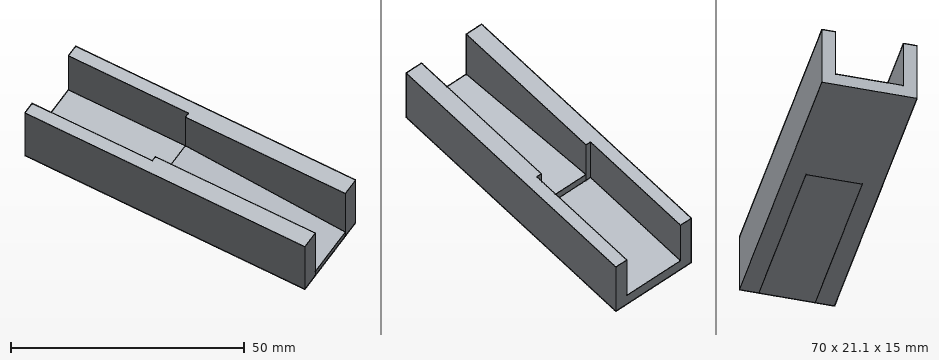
import cadquery as cq

length = 70.0
width = 21.1
height = 15.0
floor_thickness = 3.0
wide_channel_length = 30.0
wide_channel_width = 15.0
narrow_channel_width = 12.45

ramp_high_end = 5.0
ramp_low_end = 1.5
ramp_length = length - wide_channel_length


def make_channel(start_x, channel_length, channel_width, bottom_z):
    """Cutter for a stretch of channel that is open at the top."""
    return (
        cq.Workplane("XY", origin=(start_x, 0, bottom_z))
        .box(channel_length, channel_width, height - bottom_z, centered=(False, True, False))
    )


def make_housing():
    """Block with a wide channel above a floor and a floorless narrow channel behind it."""
    block = cq.Workplane("XY").box(length, width, height, centered=(False, True, False))
    wide_channel = make_channel(0, wide_channel_length, wide_channel_width, floor_thickness)
    narrow_channel = make_channel(wide_channel_length, ramp_length, narrow_channel_width, 0)
    return block.cut(wide_channel).cut(narrow_channel)


def make_ramp():
    """Sloping side profile, extruded across the narrow channel."""
    return (
        cq.Workplane("XZ", origin=(wide_channel_length, 0, 0))
        .lineTo(ramp_length, 0)
        .lineTo(ramp_length, ramp_low_end)
        .lineTo(0, ramp_high_end)
        .close()
        .extrude(narrow_channel_width / 2, both=True)
    )


housing = make_housing()
ramp = make_ramp()
result = cq.Compound.makeCompound([housing.val(), ramp.val()])